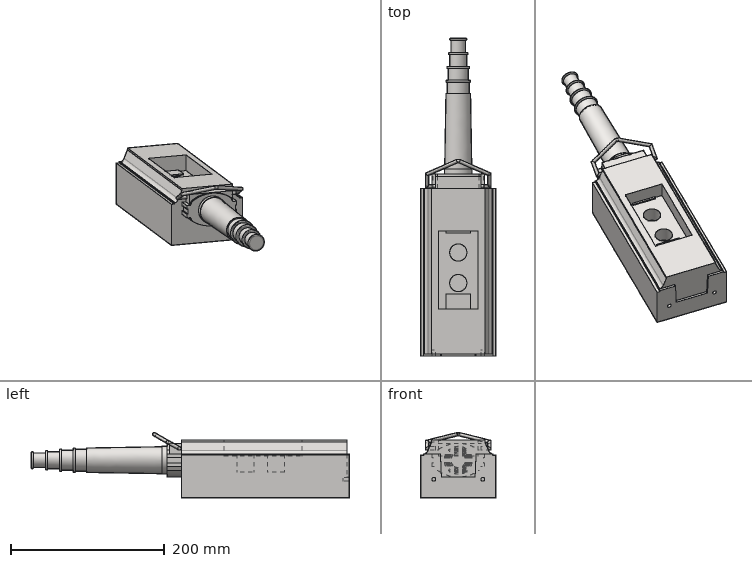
import cadquery as cq

TOTAL_LENGTH = 414.5
TOTAL_HEIGHT = 85.0
HOUSING_LENGTH = 218.8
HOUSING_WIDTH = 98.0
HOUSING_HALF_WIDTH = HOUSING_WIDTH / 2
SHOULDER_Z = 55.5
STEP_HALF_WIDTH = 45.0
STEP_Z = 57.0
FLARE_BOTTOM_HALF_WIDTH = 44.0
FLARE_TOP_HALF_WIDTH = 39.5
FLARE_TOP_Z = 61.7
FLARE_SAG = 0.5
TOP_HALF_WIDTH = 35.0
TOP_STRIP = 2.5
HOUSING_TOP_Z = 75.5

END_PLATE_THICKNESS = 3.0
WINDOW_TOP_HALF_WIDTH = 23.0
WINDOW_BOTTOM_HALF_WIDTH = 22.0
WINDOW_BOTTOM_Z = 27.0
SCREW_HOLE_DIAMETER = 5.0
SCREW_HOLE_DEPTH = 8.3
SCREW_HOLE_X = 32.0
SCREW_HOLE_Z = 24.0

POCKET_WIDTH = 51.8
POCKET_FRONT_Y = 61.5
POCKET_LENGTH = 102.0
POCKET_DEPTH = 21.0
POCKET_FLOOR_Z = HOUSING_TOP_Z - POCKET_DEPTH
PAD_WIDTH = 31.5
PAD_HEIGHT = 1.5
FRONT_PAD_LENGTH = 20.0
REAR_PAD_LENGTH = 2.5
BUTTON_DIAMETER = 22.5
BUTTON_DEPTH = 20.7
FIRST_BUTTON_Y = 95.3
BUTTON_PITCH = 39.8

AXIS_Z = 49.0
GLAND_LENGTH = 18.5
GLAND_HALF_WIDTH = 34.5
GLAND_BLOCK_HALF_WIDTH = 29.5
GLAND_WALL_HALF_HEIGHT = 8.3
GLAND_CROWN_HALF_WIDTH = 27.0
GLAND_CROWN_HALF_HEIGHT = 13.3
GLAND_HALF_HEIGHT = 22.0
GROOVE_HALF_HEIGHT = 3.5
GROOVE_DEPTH = 1.5
GLAND_BLOCK_LENGTH = 15.5
GLAND_BLOCK_TOP_Z = 71.0

COLLAR_LENGTH = 6.5
COLLAR_RADIUS = 18.2
TAPER_START_RADIUS = 18.0
TAPER_END_RADIUS = 16.0
TAPER_END_Y = 342.2
RING_WIDTH = 3.0
RING_HEIGHT = 1.5
SLEEVE_STEPS = [(359.5, 14.5), (377.5, 13.3), (395.5, 11.0), (TOTAL_LENGTH, 9.5)]

WIRE_DIAMETER = 4.5
BAIL_HALF_WIDTH = 40.5
BAIL_ROOT_X = 27.0
BAIL_ROOT = (221.2, 64.2)
BAIL_ELBOW = (237.0, 73.0)
BAIL_APEX = (254.0, TOTAL_HEIGHT - WIRE_DIAMETER / 2)
BAIL_APEX_HALF_WIDTH = 1.5


def housing():
    """Extruded symmetric body with a stepped shoulder and a flared upper part."""
    flare_middle = (
        (FLARE_BOTTOM_HALF_WIDTH + FLARE_TOP_HALF_WIDTH) / 2 - FLARE_SAG,
        (STEP_Z + FLARE_TOP_Z) / 2 - FLARE_SAG,
    )
    right_half = (
        cq.Workplane("XZ")
        .lineTo(HOUSING_HALF_WIDTH, 0)
        .lineTo(HOUSING_HALF_WIDTH, SHOULDER_Z)
        .lineTo(STEP_HALF_WIDTH, SHOULDER_Z)
        .lineTo(STEP_HALF_WIDTH, STEP_Z)
        .lineTo(FLARE_BOTTOM_HALF_WIDTH, STEP_Z)
        .threePointArc(flare_middle, (FLARE_TOP_HALF_WIDTH, FLARE_TOP_Z))
        .lineTo(TOP_HALF_WIDTH, HOUSING_TOP_Z - TOP_STRIP)
        .lineTo(TOP_HALF_WIDTH, HOUSING_TOP_Z)
        .lineTo(0, HOUSING_TOP_Z)
        .close()
        .extrude(-HOUSING_LENGTH)
    )
    return right_half.union(right_half.mirror("YZ"))


def end_plate_cuts():
    """Material removed at the front: above the plate, its tapered window and two screw holes."""
    above_plate = (
        cq.Workplane("XY")
        .box(
            HOUSING_WIDTH, END_PLATE_THICKNESS, HOUSING_TOP_Z - STEP_Z,
            centered=(True, False, False),
        )
        .translate((0, 0, STEP_Z))
    )
    window = (
        cq.Workplane("XZ")
        .polyline([
            (-WINDOW_TOP_HALF_WIDTH, STEP_Z),
            (-WINDOW_BOTTOM_HALF_WIDTH, WINDOW_BOTTOM_Z),
            (WINDOW_BOTTOM_HALF_WIDTH, WINDOW_BOTTOM_Z),
            (WINDOW_TOP_HALF_WIDTH, STEP_Z),
        ])
        .close()
        .extrude(-END_PLATE_THICKNESS)
    )
    screw_holes = (
        cq.Workplane("XZ")
        .pushPoints([(-SCREW_HOLE_X, SCREW_HOLE_Z), (SCREW_HOLE_X, SCREW_HOLE_Z)])
        .circle(SCREW_HOLE_DIAMETER / 2)
        .extrude(-SCREW_HOLE_DEPTH)
    )
    return above_plate.union(window).union(screw_holes)


def floor_box(width, front_y, length, height):
    """Box standing on the pocket floor, centred on X."""
    return (
        cq.Workplane("XY")
        .box(width, length, height, centered=(True, False, False))
        .translate((0, front_y, POCKET_FLOOR_Z))
    )


def pocket_cut():
    """Button pocket with a raised pad left at each end and two blind button holes in its floor."""
    rear_pad_y = POCKET_FRONT_Y + POCKET_LENGTH - REAR_PAD_LENGTH
    button_holes = (
        cq.Workplane("XY", origin=(0, 0, POCKET_FLOOR_Z))
        .pushPoints([(0, FIRST_BUTTON_Y), (0, FIRST_BUTTON_Y + BUTTON_PITCH)])
        .circle(BUTTON_DIAMETER / 2)
        .extrude(-BUTTON_DEPTH)
    )
    return (
        floor_box(POCKET_WIDTH, POCKET_FRONT_Y, POCKET_LENGTH, POCKET_DEPTH)
        .cut(floor_box(PAD_WIDTH, POCKET_FRONT_Y, FRONT_PAD_LENGTH, PAD_HEIGHT))
        .cut(floor_box(PAD_WIDTH, rear_pad_y, REAR_PAD_LENGTH, PAD_HEIGHT))
        .union(button_holes)
    )


def gland():
    """Grooved gland with crowned top and underside, plus the block on top that holds the bail."""
    groove_half_width = GLAND_HALF_WIDTH - GROOVE_DEPTH
    upper_half = (
        cq.Workplane("XZ", origin=(0, HOUSING_LENGTH, AXIS_Z))
        .lineTo(groove_half_width, 0)
        .lineTo(groove_half_width, GROOVE_HALF_HEIGHT)
        .lineTo(GLAND_HALF_WIDTH, GROOVE_HALF_HEIGHT)
        .lineTo(GLAND_HALF_WIDTH, GLAND_WALL_HALF_HEIGHT)
        .lineTo(GLAND_BLOCK_HALF_WIDTH, GLAND_WALL_HALF_HEIGHT)
        .lineTo(GLAND_CROWN_HALF_WIDTH, GLAND_CROWN_HALF_HEIGHT)
        .threePointArc((0, GLAND_HALF_HEIGHT), (-GLAND_CROWN_HALF_WIDTH, GLAND_CROWN_HALF_HEIGHT))
        .lineTo(-GLAND_BLOCK_HALF_WIDTH, GLAND_WALL_HALF_HEIGHT)
        .lineTo(-GLAND_HALF_WIDTH, GLAND_WALL_HALF_HEIGHT)
        .lineTo(-GLAND_HALF_WIDTH, GROOVE_HALF_HEIGHT)
        .lineTo(-groove_half_width, GROOVE_HALF_HEIGHT)
        .lineTo(-groove_half_width, 0)
        .close()
        .extrude(-GLAND_LENGTH)
    )
    body = upper_half.union(upper_half.mirror("XY", (0, 0, AXIS_Z)))
    block = (
        cq.Workplane("XY")
        .box(
            2 * GLAND_BLOCK_HALF_WIDTH, GLAND_BLOCK_LENGTH, GLAND_BLOCK_TOP_Z - AXIS_Z,
            centered=(True, False, False),
        )
        .translate((0, HOUSING_LENGTH, AXIS_Z))
    )
    return body.union(block)


def cable_sleeve():
    """Revolved sleeve: collar, long taper, then steps that each end in a round-edged ring."""
    start_y = HOUSING_LENGTH + GLAND_LENGTH
    collar_end_y = start_y + COLLAR_LENGTH
    outline = (
        cq.Workplane("XY", origin=(0, 0, AXIS_Z))
        .moveTo(0, start_y)
        .lineTo(COLLAR_RADIUS, start_y)
        .lineTo(COLLAR_RADIUS, collar_end_y)
        .lineTo(TAPER_START_RADIUS, collar_end_y)
        .lineTo(TAPER_END_RADIUS, TAPER_END_Y)
    )
    step_start_y = TAPER_END_Y
    for step_end_y, radius in SLEEVE_STEPS:
        ring_start_y = step_end_y - RING_WIDTH
        outline = (
            outline.lineTo(radius, step_start_y)
            .lineTo(radius, ring_start_y)
            .threePointArc((radius + RING_HEIGHT, step_end_y - RING_WIDTH / 2), (radius, step_end_y))
        )
        step_start_y = step_end_y
    return outline.lineTo(0, TOTAL_LENGTH).close().revolve(360, (0, 0, 0), (0, 1, 0))


def bail():
    """Bent wire bail rooted in both sides of the gland block and peaking over the sleeve."""
    side = [
        (BAIL_ROOT_X, *BAIL_ROOT),
        (BAIL_HALF_WIDTH, *BAIL_ROOT),
        (BAIL_HALF_WIDTH, *BAIL_ELBOW),
        (BAIL_APEX_HALF_WIDTH, *BAIL_APEX),
    ]
    other_side = [(-x, y, z) for x, y, z in reversed(side)]
    path = cq.Workplane("XY").polyline(side + other_side)
    return (
        cq.Workplane("YZ", origin=side[0])
        .circle(WIRE_DIAMETER / 2)
        .sweep(path, transition="right")
    )


result = (
    housing()
    .cut(end_plate_cuts())
    .cut(pocket_cut())
    .union(gland())
    .union(cable_sleeve())
    .union(bail())
)